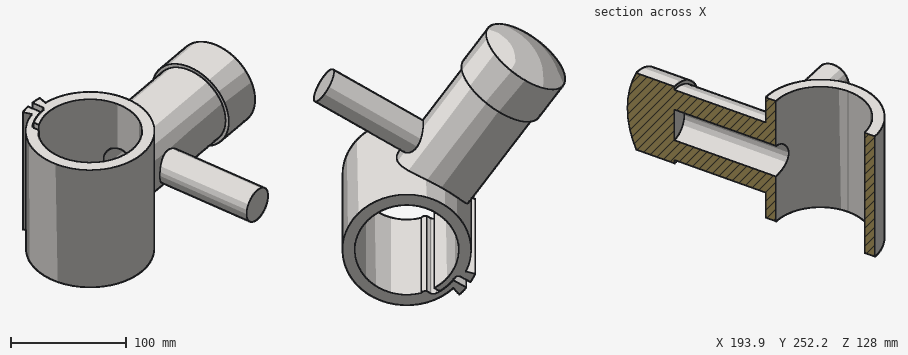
import math

import cadquery as cq

sleeve_height = 128.0
outer_radius = 55.7
bore_radius = 45.0
wall_middle_radius = (bore_radius + outer_radius) / 2

lug_tip_radius = 64.0
lug_tip_half_width = 12.5
lug_root_half_width = 10.0
split_half_gap = 3.2
tongue_radius = 50.2
recess_radius = 50.5
tongue_end_y = -19.0
shelf_y = -25.0
slot_corner_fillet = 3.5
pocket_corner_fillet = 5.0
stop_end_x = -34.2
stop_corner_fillet = 4.0

pipe_radius = 37.5
cap_radius = 41.0
cap_start_y = 148.3
cap_end_y = 187.3
dome_height = 9.17
channel_radius = 16.0

side_pipe_radius = 16.0
side_pipe_y = 67.2
side_pipe_end_x = 130.0


def on_circle(radius, y):
    """Point with the given y on the -X half of a circle around the sleeve axis."""
    return (-math.sqrt(radius**2 - y**2), y)


def prism(outline):
    """Extrude a closed XY outline over the height of the sleeve."""
    return outline.extrude(sleeve_height / 2, both=True)


def make_lugs():
    tip_y = lug_tip_half_width
    root_y = lug_root_half_width
    outline = (
        cq.Workplane("XY")
        .moveTo(*on_circle(outer_radius, root_y))
        .lineTo(*on_circle(lug_tip_radius, tip_y))
        .threePointArc((-lug_tip_radius, 0), on_circle(lug_tip_radius, -tip_y))
        .lineTo(*on_circle(outer_radius, -root_y))
        .lineTo(-tongue_radius, 0)
        .close()
    )
    return prism(outline)


def make_split():
    """Slot between the lugs, thin gap behind the tongue and pocket past its end."""
    slot_top = on_circle(tongue_radius, split_half_gap)
    tongue_tip = on_circle(tongue_radius, tongue_end_y)
    recess_top = on_circle(recess_radius, -split_half_gap)
    recess_mid = on_circle(recess_radius, (shelf_y - split_half_gap) / 2)
    recess_bottom = on_circle(recess_radius, shelf_y)
    slot_start_x = -lug_tip_radius - split_half_gap
    outline = (
        cq.Workplane("XY")
        .moveTo(slot_start_x, split_half_gap)
        .lineTo(*slot_top)
        .threePointArc(on_circle(tongue_radius, tongue_end_y / 2), tongue_tip)
        .lineTo(stop_end_x, tongue_end_y)
        .lineTo(stop_end_x, shelf_y)
        .lineTo(*recess_bottom)
        .threePointArc(recess_mid, recess_top)
        .lineTo(slot_start_x, -split_half_gap)
        .close()
    )
    split = prism(outline)
    rounded_corners = ((slot_top, slot_corner_fillet), (recess_bottom, pocket_corner_fillet))
    for corner, fillet_radius in rounded_corners:
        edge = cq.selectors.NearestToPointSelector((*corner, 0))
        split = split.edges("|Z").edges(edge).fillet(fillet_radius)
    return split


def make_stop():
    """Small step below the shelf that stands slightly proud of the bore wall."""
    foot_y = -math.sqrt(wall_middle_radius**2 - stop_end_x**2)
    outline = (
        cq.Workplane("XY")
        .moveTo(*on_circle(wall_middle_radius, shelf_y))
        .lineTo(stop_end_x - stop_corner_fillet, shelf_y)
        .radiusArc((stop_end_x, shelf_y - stop_corner_fillet), stop_corner_fillet)
        .lineTo(stop_end_x, foot_y)
        .close()
    )
    return prism(outline)


def make_pipe():
    outline = (
        cq.Workplane("XY")
        .lineTo(pipe_radius, 0)
        .lineTo(pipe_radius, cap_start_y)
        .lineTo(cap_radius, cap_start_y)
        .lineTo(cap_radius, cap_end_y)
    )
    dome_radius = (cap_radius**2 + dome_height**2) / (2 * dome_height)
    dome_center_y = cap_end_y + dome_height - dome_radius
    half_x = cap_radius / 2
    half_y = dome_center_y + math.sqrt(dome_radius**2 - half_x**2)
    outline = outline.threePointArc((half_x, half_y), (0, cap_end_y + dome_height)).close()
    return outline.revolve(360, (0, 0), (0, 1))


def make_side_pipe():
    return cq.Workplane("YZ").center(side_pipe_y, 0).circle(side_pipe_radius).extrude(side_pipe_end_x)


def make_channel():
    """Passage from the bore of the sleeve along the large pipe up to the cap."""
    return cq.Workplane("XZ").circle(channel_radius).extrude(-cap_start_y)


sleeve = prism(cq.Workplane("XY").circle(outer_radius)).union(make_lugs())
bore = prism(cq.Workplane("XY").circle(bore_radius))
body = sleeve.union(make_pipe()).union(make_side_pipe())
result = body.cut(bore).cut(make_channel()).union(make_stop()).cut(make_split())